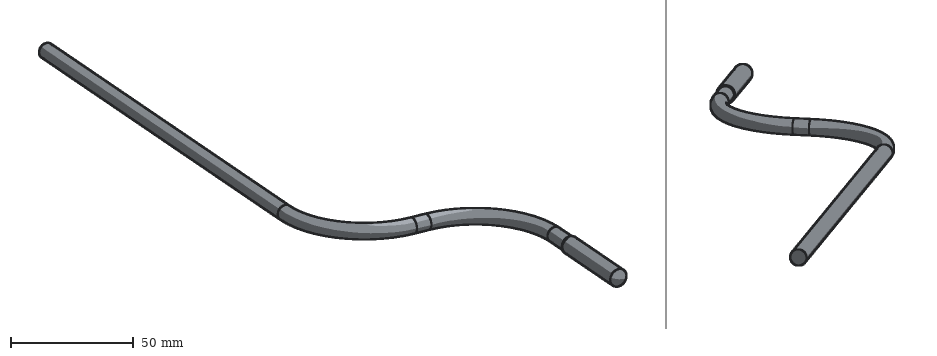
import cadquery as cq
import math

total_length = 312.5
rod_diameter = 7.0
handle_diameter = 7.8

rod_length = 186.3
bend_radius = 37.8
link_length = 7.0
neck_length = 12.0
dome_height = 1.0

link_x = rod_length + bend_radius
neck_x = link_x + bend_radius
grip_x = neck_x + neck_length
grip_end_x = total_length - dome_height
upper_bend_y = bend_radius + link_length
handle_y = upper_bend_y + bend_radius


def make_rod():
    return cq.Workplane("YZ").circle(rod_diameter / 2).extrude(rod_length)


def make_lower_bend():
    """Quarter torus that turns the path from +X to +Y."""
    section = cq.Workplane("YZ", origin=(rod_length, 0, 0)).circle(rod_diameter / 2)
    return section.revolve(90, (bend_radius, 0), (bend_radius, 1))


def make_link():
    """Short straight piece along Y between the two bends."""
    plane = cq.Workplane("XZ", origin=(link_x, upper_bend_y, 0))
    return plane.circle(rod_diameter / 2).extrude(link_length)


def make_handle():
    """Grip with a neck of rod diameter and a shallow dome on its free end, turned about X."""
    neck_radius = rod_diameter / 2
    grip_radius = handle_diameter / 2
    dome_radius = (grip_radius**2 + dome_height**2) / (2 * dome_height)
    half_angle = math.asin(grip_radius / dome_radius) / 2
    dome_middle = (
        total_length - dome_radius * (1 - math.cos(half_angle)),
        dome_radius * math.sin(half_angle),
    )
    profile = (
        cq.Workplane("XY", origin=(0, handle_y, 0))
        .moveTo(neck_x, 0)
        .lineTo(neck_x, neck_radius)
        .lineTo(grip_x, neck_radius)
        .lineTo(grip_x, grip_radius)
        .lineTo(grip_end_x, grip_radius)
        .threePointArc(dome_middle, (total_length, 0))
        .close()
    )
    return profile.revolve(360, (0, 0), (1, 0))


rod = make_rod()
link = make_link()
handle = make_handle()
lower_bend = make_lower_bend()
link_middle = (link_x, bend_radius + link_length / 2, 0)
upper_bend = lower_bend.rotate(link_middle, (link_middle[0], link_middle[1], 1), 180)

bodies = [rod, lower_bend, link, upper_bend, handle]
result = cq.Compound.makeCompound([body.val() for body in bodies])